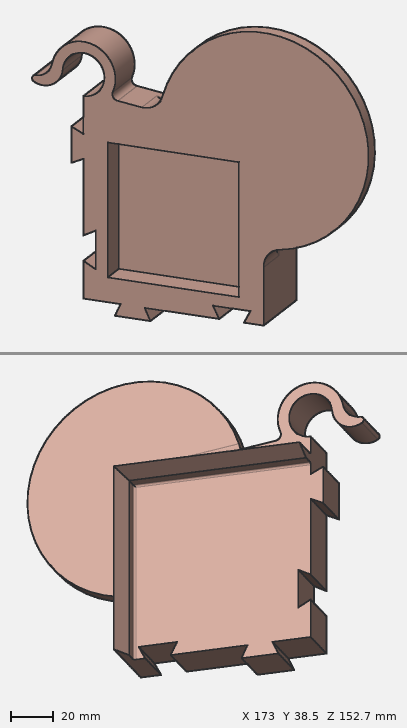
import cadquery as cq
import math

side = 92.5
slab_depth = 22.7
total_depth = 38.5

disk_radius = 54.0
disk_depth = 7.6
blend_radius = 10.0

slope_rise = 11.0

hook_z = 112.1
hook_inner_radius = 10.7
hook_outer_radius = 16.5
hook_corner_radius = 3.0
tail_lower_radius = 10.0
tail_top_z = 108.1
tail_bottom_z = 103.6
overall_length = 173.0
tail_tip_x = side + disk_radius - overall_length

dovetail_height = 6.2
tongue_root, tongue_tip = 12.5, 18.3
groove_mouth, groove_floor = 12.6, 19.2
dovetail_near = 25.3
dovetail_far = 76.1

pocket_margin = 12.5
pocket_size = 67.5
pocket_depth = 13.0

rail_width = 4.3
bevel_start = 29.0
rail_foot_radius = 1.0


def front_plane(y=0.0):
    return cq.Workplane("XZ", origin=(0, y, 0))


def prism(points, y_start, y_end):
    return front_plane(y_start).polyline(points).close().extrude(y_start - y_end)


def square_prism(low, high, y_start, y_end):
    return prism([(low, low), (high, low), (high, high), (low, high)], y_start, y_end)


def toward(start, target, distance):
    """Point at a distance from start on the way to target."""
    length = math.dist(start, target)
    return tuple(s + (t - s) * distance / length for s, t in zip(start, target))


def arc_middle(center, start, end):
    """Middle of the shorter arc from start to end about center."""
    chord_middle = tuple((s + e) / 2 for s, e in zip(start, end))
    return toward(center, chord_middle, math.dist(center, start))


def center_above_slope(circle_center, circle_radius, radius, direction):
    """Centre of an arc touching the slope from above and a circle from outside.

    direction is +1 for the solution farther down the slope, -1 for the other.
    """
    along = (math.cos(slope_angle), -math.sin(slope_angle))
    normal = (math.sin(slope_angle), math.cos(slope_angle))
    dx = circle_center[0] - slope_start[0]
    dz = circle_center[1] - slope_start[1]
    height = dx * normal[0] + dz * normal[1]
    offset = math.sqrt((circle_radius + radius) ** 2 - (height - radius) ** 2)
    position = dx * along[0] + dz * along[1] + direction * offset
    return tuple(s + position * a + radius * n for s, a, n in zip(slope_start, along, normal))


def foot_on_slope(center, radius):
    return (center[0] - radius * math.sin(slope_angle), center[1] - radius * math.cos(slope_angle))


disk_center = (side, side)
hook_center = (0, hook_z)
slope_start = (0, side + slope_rise)
slope_angle = math.atan2(slope_rise, side)


def outline():
    """Front outline of block, disk and hook, without the dovetails."""
    low_blend_z = side - math.sqrt((disk_radius + blend_radius) ** 2 - blend_radius ** 2)
    low_blend = (side + blend_radius, low_blend_z)
    low_blend_start = (side, low_blend_z)
    disk_start = toward(disk_center, low_blend, disk_radius)

    top_blend = center_above_slope(disk_center, disk_radius, blend_radius, -1)
    disk_end = toward(disk_center, top_blend, disk_radius)
    top_blend_end = foot_on_slope(top_blend, blend_radius)
    diagonal = side + disk_radius * math.sqrt(0.5)

    corner = center_above_slope(hook_center, hook_outer_radius, hook_corner_radius, 1)
    corner_start = foot_on_slope(corner, hook_corner_radius)
    hook_start = toward(hook_center, corner, hook_outer_radius)

    lower_z = tail_bottom_z + tail_lower_radius
    lower_reach = hook_inner_radius + tail_lower_radius
    lower = (-math.sqrt(lower_reach ** 2 - (lower_z - hook_z) ** 2), lower_z)
    inner_start = toward(hook_center, lower, hook_inner_radius)

    run = lower[0] - tail_tip_x
    rise = lower_z - tail_top_z
    half_sum = rise - run + tail_lower_radius
    nose_radius = math.sqrt(half_sum ** 2 + tail_lower_radius ** 2 - run ** 2 - rise ** 2) - half_sum
    nose = (tail_tip_x + nose_radius, tail_top_z - nose_radius)
    nose_start = (nose[0], tail_top_z)
    nose_end = toward(lower, nose, tail_lower_radius)

    drop = hook_z - tail_top_z
    upper_radius = (nose[0] ** 2 + drop ** 2 - hook_outer_radius ** 2) / (2 * (hook_outer_radius + drop))
    upper = (nose[0], tail_top_z + upper_radius)
    hook_end = toward(hook_center, upper, hook_outer_radius)

    return (
        front_plane()
        .moveTo(0, 0)
        .lineTo(side, 0)
        .lineTo(*low_blend_start)
        .threePointArc(arc_middle(low_blend, low_blend_start, disk_start), disk_start)
        .threePointArc((diagonal, diagonal), disk_end)
        .threePointArc(arc_middle(top_blend, disk_end, top_blend_end), top_blend_end)
        .lineTo(*corner_start)
        .threePointArc(arc_middle(corner, corner_start, hook_start), hook_start)
        .threePointArc((0, hook_z + hook_outer_radius), hook_end)
        .threePointArc(arc_middle(upper, hook_end, nose_start), nose_start)
        .threePointArc((tail_tip_x, nose[1]), nose_end)
        .threePointArc(arc_middle(lower, nose_end, inner_start), inner_start)
        .threePointArc((hook_inner_radius, hook_z), (0, hook_z - hook_inner_radius))
        .close()
    )


def below_slope(depth):
    """Block bounded above by the slope, from the front face to a depth."""
    return prism([(0, 0), (side, 0), (side, side), slope_start], 0, depth)


def depth_envelope():
    """Slab-deep around block and hook, disk-deep elsewhere, with a blend between."""
    reach = 2 * side
    plate = square_prism(0, reach, 0, disk_depth)
    block = below_slope(slab_depth)
    step_edges = cq.selectors.BoxSelector(
        (side / 4, disk_depth / 2, side / 4), (1.5 * side, slab_depth / 2, 1.5 * side)
    )
    blended = plate.union(block).edges(step_edges).fillet(blend_radius)
    hook_right = hook_outer_radius + hook_corner_radius
    hook_zone = prism(
        [(-reach, side), (hook_right, side), (hook_right, reach), (-reach, reach)], 0, slab_depth
    )
    return blended.union(hook_zone)


def dovetail(position, base_width, end_width, height, on_left):
    """Dovetail based on the bottom side, or on the left side; negative height points outward."""
    points = [
        (position - base_width / 2, 0),
        (position + base_width / 2, 0),
        (position + end_width / 2, height),
        (position - end_width / 2, height),
    ]
    if on_left:
        points = [(z, x) for x, z in points]
    return prism(points, 0, slab_depth)


def rails():
    """Rails along top and right, with inner faces that flare out to a sharp back edge."""
    inner = side - rail_width
    frame = square_prism(0, side, slab_depth, total_depth)
    straight = (
        front_plane(slab_depth)
        .rect(2 * inner, 2 * inner)
        .extrude(slab_depth - bevel_start)
        .faces("<Y")
        .edges()
        .fillet(rail_foot_radius)
    )
    flare = (
        front_plane(bevel_start)
        .rect(2 * inner, 2 * inner)
        .workplane(offset=bevel_start - total_depth)
        .rect(2 * side, 2 * side)
        .loft(ruled=True)
    )
    return frame.cut(straight).cut(flare)


def top_rail_foot():
    """Concave strip between the top rail and the back of the slab, trimmed by the slope."""
    bulge = rail_foot_radius * (1 - math.sqrt(0.5))
    strip = (
        cq.Workplane("YZ")
        .moveTo(slab_depth, side)
        .lineTo(slab_depth, side + rail_foot_radius)
        .threePointArc((slab_depth + bulge, side + bulge), (slab_depth + rail_foot_radius, side))
        .close()
        .extrude(side)
    )
    return strip.intersect(below_slope(total_depth))


body = outline().extrude(-slab_depth).intersect(depth_envelope())

for tongue_position, groove_position, on_left in (
    (dovetail_near, dovetail_far, False),
    (dovetail_far, dovetail_near, True),
):
    tongue = dovetail(tongue_position, tongue_root, tongue_tip, -dovetail_height, on_left)
    groove = dovetail(groove_position, groove_mouth, groove_floor, dovetail_height, on_left)
    body = body.union(tongue).cut(groove)

pocket = square_prism(pocket_margin, pocket_margin + pocket_size, 0, pocket_depth)

result = body.cut(pocket).union(rails()).union(top_rail_foot())